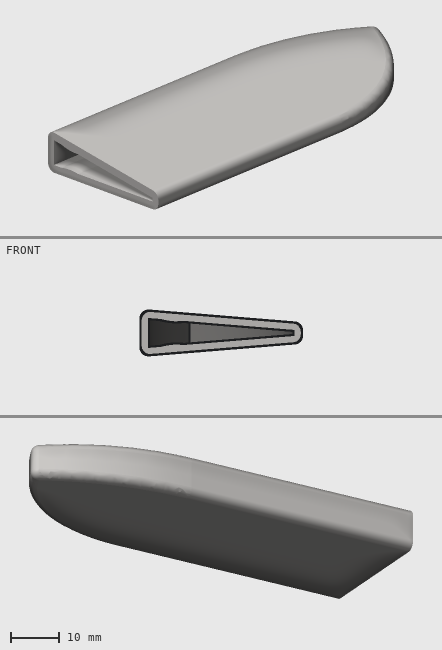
import cadquery as cq
import math

width = 33.0
length = 83.2
wall = 1.75

spine_height = 5.65
edge_height = 0.8
spine_x = wall
edge_x = width - wall
straight_length = 51.4
tip_x = 10.0
tip_y = length - wall

rib_x = 6.5
rib_width = 5.0
rib_height = 0.25


def tangent_arc_middle(side_x):
    """Middle of the arc that leaves a straight side along +Y and ends at the tip."""
    across = tip_x - side_x
    along = tip_y - straight_length
    radius = (across**2 + along**2) / (2 * abs(across))
    half_angle = math.asin(along / radius) / 2
    inward = math.copysign(1, across)
    return (
        side_x + inward * radius * (1 - math.cos(half_angle)),
        straight_length + radius * math.sin(half_angle),
    )


def cavity_core():
    """Wedge section run along Y and trimmed to the pointed blade outline."""
    wedge = (
        cq.Workplane("XZ")
        .polyline([
            (spine_x, -spine_height / 2),
            (edge_x, -edge_height / 2),
            (edge_x, edge_height / 2),
            (spine_x, spine_height / 2),
        ])
        .close()
        .extrude(-length)
    )
    outline = (
        cq.Workplane("XY")
        .moveTo(spine_x, 0)
        .lineTo(edge_x, 0)
        .lineTo(edge_x, straight_length)
        .threePointArc(tangent_arc_middle(edge_x), (tip_x, tip_y))
        .threePointArc(tangent_arc_middle(spine_x), (spine_x, straight_length))
        .close()
        .extrude(spine_height, both=True)
    )
    return wedge.intersect(outline)


def cavity_half_height(x):
    """Half the cavity height at a place between the spine and the edge."""
    fraction = (x - spine_x) / (edge_x - spine_x)
    return (spine_height + fraction * (edge_height - spine_height)) / 2


def grip_rib(side):
    """Rounded rib along Y on the upper (side = 1) or lower (side = -1) inner face."""
    start_x = rib_x - rib_width / 2
    end_x = rib_x + rib_width / 2
    crest = cavity_half_height(rib_x) - rib_height
    return (
        cq.Workplane("XZ")
        .moveTo(start_x, side * cavity_half_height(start_x))
        .threePointArc((rib_x, side * crest), (end_x, side * cavity_half_height(end_x)))
        .close()
        .extrude(-length)
    )


core = cavity_core()
result = core.faces("<Y").shell(wall, kind="arc")

for side in (1, -1):
    result = result.union(grip_rib(side).intersect(core))